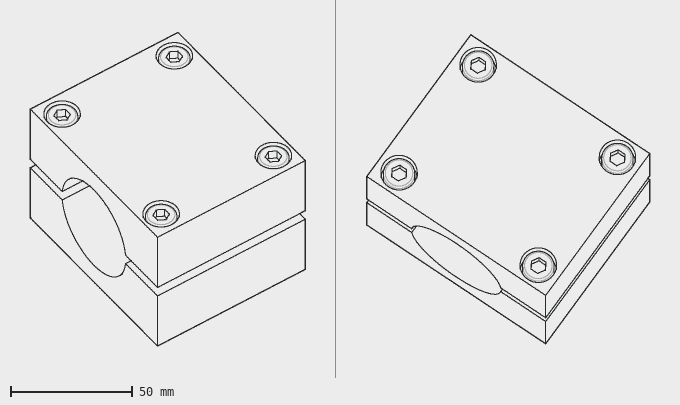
import cadquery as cq
import math

length = 90.0
width = 75.0
height = 65.0
gap = 5.0
block_height = (height - gap) / 2
bore_diameter = 45.0

screw_spacing_x = 70.0
screw_spacing_y = 57.0
shank_diameter = 9.0
head_diameter = 13.0
head_height = 8.0
head_rounding = 0.8
head_recess = 0.5
counterbore_diameter = 15.0
counterbore_depth = head_height + head_recess

socket_across_flats = 5.9
socket_across_corners = socket_across_flats / math.cos(math.pi / 6)
socket_depth = 4.0
socket_cone_angle = 120.0
socket_cone_height = socket_across_corners / 2 / math.tan(math.radians(socket_cone_angle / 2))

top_z = height / 2
head_top_z = top_z - head_recess
counterbore_floor_z = top_z - counterbore_depth


def make_clamp_blocks():
    """Block pair centred on the origin, with the bore along Y through the gap."""
    body = cq.Workplane("XY").box(length, width, height)
    slit = cq.Workplane("XY").box(length, width, gap)
    bore = cq.Workplane("XZ").circle(bore_diameter / 2).extrude(width / 2, both=True)
    return body.cut(slit).cut(bore)


def make_counterbore():
    floor = cq.Workplane("XY").workplane(offset=counterbore_floor_z)
    return floor.circle(counterbore_diameter / 2).extrude(counterbore_depth)


def make_socket():
    """Hexagonal cutter, limited below by a cone that starts at the hexagon corners."""
    socket_bottom_z = head_top_z - socket_depth - socket_cone_height
    hexagon = (
        cq.Workplane("XY")
        .workplane(offset=socket_bottom_z)
        .polygon(6, socket_across_corners)
        .extrude(socket_depth + socket_cone_height)
    )
    drill = (
        cq.Workplane("XZ")
        .moveTo(0, socket_bottom_z)
        .lineTo(socket_across_corners / 2, head_top_z - socket_depth)
        .lineTo(socket_across_corners / 2, head_top_z)
        .lineTo(0, head_top_z)
        .close()
        .revolve(360, (0, 0), (0, 1))
    )
    return hexagon.intersect(drill)


def make_screw():
    """Head standing in the counterbore and a shank that ends inside the lower block."""
    head = (
        cq.Workplane("XY")
        .workplane(offset=counterbore_floor_z)
        .circle(head_diameter / 2)
        .extrude(head_height)
        .faces(">Z")
        .edges()
        .fillet(head_rounding)
    )
    shank_bottom_z = -gap / 2 - block_height / 2
    shank = (
        cq.Workplane("XY")
        .workplane(offset=shank_bottom_z)
        .circle(shank_diameter / 2)
        .extrude(counterbore_floor_z - shank_bottom_z)
    )
    return head.union(shank).cut(make_socket())


result = make_clamp_blocks()
counterbore = make_counterbore()
screw = make_screw()
for side_x in (-1, 1):
    for side_y in (-1, 1):
        position = (side_x * screw_spacing_x / 2, side_y * screw_spacing_y / 2, 0)
        result = result.cut(counterbore.translate(position)).union(screw.translate(position))